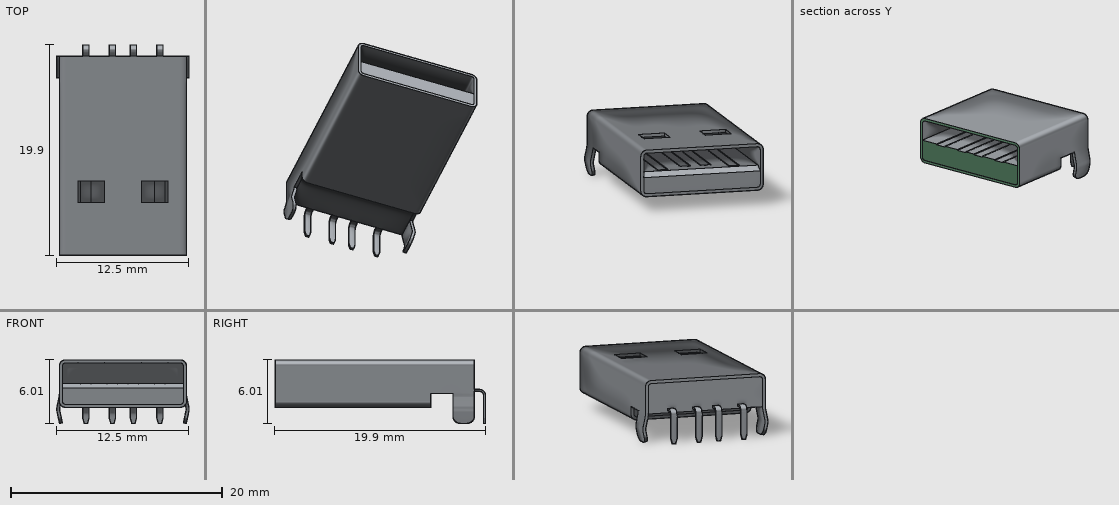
import cadquery as cq
import math


overall_length = 19.85
overall_width = 12.5
overall_height = 6.01

shell_width = 12.0
shell_height = 4.5
shell_length = 18.8
sheet = 0.3
corner_radius = 0.6
inner_width = shell_width - 2 * sheet
inner_height = shell_height - 2 * sheet
inner_radius = corner_radius - sheet
inner_top = shell_height - sheet

notch_length = 4.1
notch_top = shell_height - 3.2
notch_front = shell_length - notch_length

window_width = 2.52
window_length = 2.0
window_x = 3.0
window_y = 6.0

tip_level = shell_height - overall_height
leg_width = 2.05
leg_tip_radius = 0.7
leg_root_bend = 1.79
leg_knee_bend = 1.0
leg_reach = (overall_width - shell_width) / 2
leg_lean = math.radians(12)

tongue_top = shell_height - 2.25
lead_in_height = 0.4
lead_in_length = 0.75

inner_contact_x = 1.0
outer_contact_x = 3.5
contact_width = 1.0
contact_recess = 0.08
outer_contact_front = 1.21
inner_contact_front = 2.2

pin_width = 0.62
pin_thickness = 0.2
pin_top = shell_height - 2.78
pin_bend = 0.6
pin_tip_width = 0.32
pin_tip_length = 0.52


def box(x_min, x_max, y_min, y_max, z_min, z_max):
    size = (x_max - x_min, y_max - y_min, z_max - z_min)
    return cq.Workplane("XY").box(*size, centered=False).translate((x_min, y_min, z_min))


def rounded_bar(width, height, radius):
    """Bar as long as the shell, with its four long edges rounded."""
    return (
        cq.Workplane("XZ", origin=(0, 0, shell_height / 2))
        .rect(width, height)
        .extrude(-shell_length)
        .edges("|Y")
        .fillet(radius)
    )


def make_leg():
    """Sheet strip at +X that leans outward, bends back at the knee and ends in a rounded tip."""
    sine = math.sin(leg_lean)
    cosine = math.cos(leg_lean)
    half_sine = math.sin(leg_lean / 2)
    half_cosine = math.cos(leg_lean / 2)

    bend_shift = (leg_root_bend + leg_knee_bend) * (1 - cosine)
    straight_drop = (leg_reach - bend_shift) * cosine / sine

    root_x = (shell_width - sheet) / 2
    root_end = (root_x + leg_root_bend * (1 - cosine), notch_top - leg_root_bend * sine)
    root_mid = (root_x + leg_root_bend * (1 - half_cosine), notch_top - leg_root_bend * half_sine)
    knee_x = root_x + leg_reach
    knee_z = root_end[1] - straight_drop - leg_knee_bend * sine
    knee_start_x = knee_x - leg_knee_bend * (1 - cosine)
    knee_start = (knee_start_x, knee_z + leg_knee_bend * sine)
    knee_end = (knee_start_x, knee_z - leg_knee_bend * sine)

    tip_z = tip_level + sheet / 2 * sine
    tip_x = knee_end[0] - (knee_end[1] - tip_z) * sine / cosine

    center_y = shell_length - leg_width / 2
    path = (
        cq.Workplane("XZ", origin=(0, center_y, 0))
        .moveTo(root_x, notch_top)
        .threePointArc(root_mid, root_end)
        .lineTo(*knee_start)
        .threePointArc((knee_x, knee_z), knee_end)
        .lineTo(tip_x, tip_z)
    )
    strip = (
        cq.Workplane("XY", origin=(root_x, center_y, notch_top))
        .rect(sheet, leg_width)
        .sweep(path)
    )
    tip_corners = cq.selectors.BoxSelector(
        (tip_x - sheet, center_y - leg_width, tip_z - sheet),
        (tip_x + sheet, center_y + leg_width, tip_z + sheet),
    )
    return strip.edges(tip_corners).edges("<Y or >Y").fillet(leg_tip_radius)


def make_shell():
    tube = rounded_bar(shell_width, shell_height, corner_radius)
    tube = tube.cut(rounded_bar(inner_width, inner_height, inner_radius))

    half_width = shell_width / 2
    tube = tube.cut(box(-half_width, half_width, notch_front, shell_length, 0, notch_top))

    windows = (
        cq.Workplane("XY", origin=(0, window_y, inner_top))
        .pushPoints([(-window_x, 0), (window_x, 0)])
        .rect(window_width, window_length)
        .extrude(sheet)
    )
    leg = make_leg()
    return tube.cut(windows).union(leg).union(leg.mirror("YZ"))


def make_pin(x):
    """Flat pin that leaves the rear face, bends down and narrows at its tip."""
    rear = overall_length
    inner_bend = pin_bend - pin_thickness
    bend_y = rear - pin_bend
    bend_z = pin_top - pin_bend
    diagonal = math.sqrt(0.5)
    strip = (
        cq.Workplane("YZ", origin=(x - pin_width / 2, 0, 0))
        .moveTo(notch_front, pin_top)
        .lineTo(bend_y, pin_top)
        .threePointArc((bend_y + pin_bend * diagonal, bend_z + pin_bend * diagonal), (rear, bend_z))
        .lineTo(rear, tip_level)
        .lineTo(rear - pin_thickness, tip_level)
        .lineTo(rear - pin_thickness, bend_z)
        .threePointArc(
            (bend_y + inner_bend * diagonal, bend_z + inner_bend * diagonal),
            (bend_y, bend_z + inner_bend),
        )
        .lineTo(notch_front, bend_z + inner_bend)
        .close()
        .extrude(pin_width)
    )
    front_outline = (
        cq.Workplane("XZ", origin=(x, notch_front, 0))
        .moveTo(-pin_width / 2, pin_top)
        .lineTo(-pin_width / 2, tip_level + pin_tip_length)
        .lineTo(-pin_tip_width / 2, tip_level)
        .lineTo(pin_tip_width / 2, tip_level)
        .lineTo(pin_width / 2, tip_level + pin_tip_length)
        .lineTo(pin_width / 2, pin_top)
        .close()
        .extrude(notch_front - overall_length)
    )
    return strip.intersect(front_outline)


def make_insulator():
    core = rounded_bar(inner_width, inner_height, inner_radius)
    half_width = inner_width / 2

    core = core.cut(box(-half_width, half_width, 0, notch_front, tongue_top, inner_top))
    core = core.cut(box(-half_width, half_width, notch_front, shell_length, sheet, notch_top))

    lead_in = (
        cq.Workplane("YZ", origin=(-half_width, 0, 0))
        .moveTo(0, tongue_top)
        .lineTo(lead_in_length, tongue_top)
        .lineTo(0, tongue_top - lead_in_height)
        .close()
        .extrude(inner_width)
    )
    core = core.cut(lead_in)

    contacts = (
        (-outer_contact_x, outer_contact_front),
        (-inner_contact_x, inner_contact_front),
        (inner_contact_x, inner_contact_front),
        (outer_contact_x, outer_contact_front),
    )
    for x, contact_front in contacts:
        left = x - contact_width / 2
        recess = box(
            left, left + contact_width,
            contact_front, notch_front,
            tongue_top - contact_recess, tongue_top,
        )
        core = core.cut(recess).union(make_pin(x))
    return core


shell = make_shell()
insulator = make_insulator()

result = cq.Compound.makeCompound([shell.solids().val(), insulator.solids().val()])